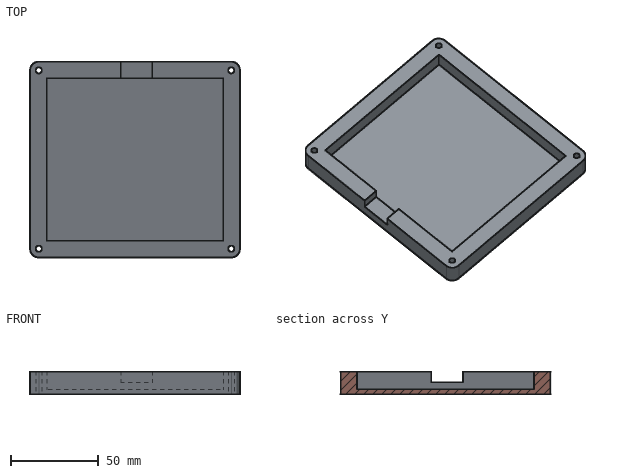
import cadquery as cq

length = 120.0
width = 112.0
height = 13.0
corner_radius = 5.0

wall = 9.5
floor_thickness = 3.0

notch_width = 18.0
notch_depth = 6.0
notch_center_x = 1.0

hole_diameter = 3.4
hole_spacing_x = length - 2 * corner_radius
hole_spacing_y = width - 2 * corner_radius


def make_block():
    block = cq.Workplane("XY").box(length, width, height, centered=(True, True, False))
    return block.edges("|Z").fillet(corner_radius)


def make_pocket():
    return (
        cq.Workplane("XY")
        .workplane(offset=floor_thickness)
        .rect(length - 2 * wall, width - 2 * wall)
        .extrude(height - floor_thickness)
    )


def make_notch():
    return (
        cq.Workplane("XY")
        .workplane(offset=height - notch_depth)
        .center(notch_center_x, (width - wall) / 2)
        .rect(notch_width, wall)
        .extrude(notch_depth)
    )


def make_screw_holes():
    return (
        cq.Workplane("XY")
        .rect(hole_spacing_x, hole_spacing_y, forConstruction=True)
        .vertices()
        .circle(hole_diameter / 2)
        .extrude(height)
    )


result = make_block().cut(make_pocket()).cut(make_notch()).cut(make_screw_holes())